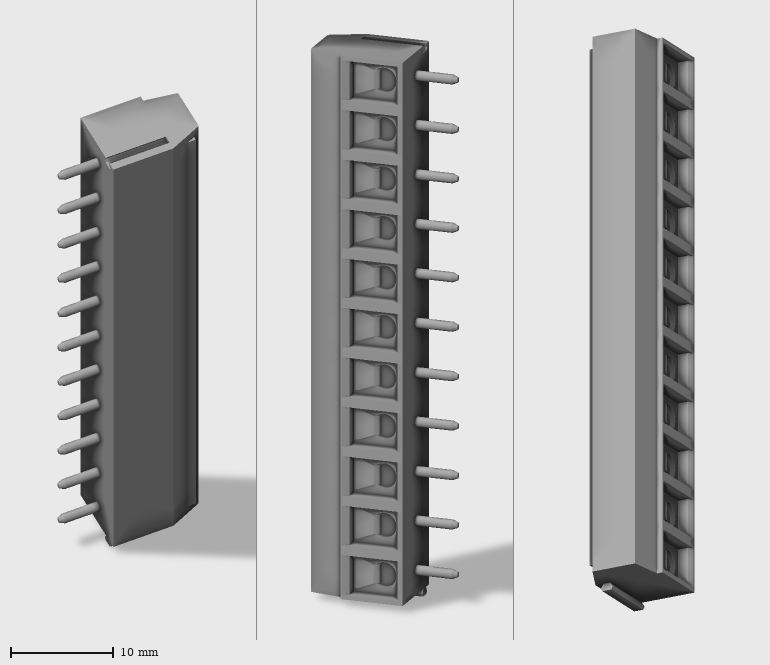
import cadquery as cq

pole_count = 11
pole_pitch = 5.08
end_margin = 2.5
body_height = (pole_count - 1) * pole_pitch + 2 * end_margin

body_width = 7.5
body_depth = 10.0
shoulder_y = 6.5
shoulder_width = 0.6
crown_left_x = 1.15
crown_right_x = 5.9

rib_top_y = 9.35
rib_face_x = 6.6
rib_end_gap = 1.0

pocket_height = 4.08
mouth_low_y = 0.18
mouth_high_y = 6.3
throat_low_y = 0.68
throat_high_y = 5.65
mouth_taper_depth = 0.35
pocket_depth = 1.5

wire_hole_y = 2.47
wire_hole_radius = 1.28
wire_hole_depth = 0.6

leaf_rise = 0.3
leaf_edge_length = 0.5
leaf_wide_half = 1.58
leaf_narrow_half = 0.93
leaf_tip_y = 2.96
leaf_edge_sag = 0.03
leaf_bend_drop = 0.35

pin_x = 4.05
pin_radius = 0.5
pin_length = 4.3
pin_tip_length = 0.55
pin_tip_radius = 0.27

rail_x = 6.23
groove_mouth_half = 0.43
groove_belly_half = 0.68
groove_floor_half = 0.48
groove_depth = 0.72
tongue_neck_half = 0.36
tongue_belly_half = 0.66
tongue_tip_half = 0.5
tongue_height = 0.76
belly_position = 0.6


def extrude_along_z(points, bottom, top):
    """Prism over an outline of (x, y) points."""
    return cq.Workplane("XY").workplane(offset=bottom).polyline(points).close().extrude(top - bottom)


def make_housing():
    outline = [
        (0, 0),
        (body_width, 0),
        (body_width, shoulder_y),
        (crown_right_x, body_depth),
        (crown_left_x, body_depth),
        (shoulder_width, shoulder_y),
        (0, shoulder_y),
    ]
    return extrude_along_z(outline, 0, body_height)


def make_rib():
    rise_per_run = (body_depth - shoulder_y) / (body_width - crown_right_x)
    rib_foot_y = body_depth - (rib_face_x - crown_right_x) * rise_per_run
    outline = [
        (crown_right_x, rib_top_y),
        (rib_face_x, rib_top_y),
        (rib_face_x, rib_foot_y),
        (crown_right_x, rib_foot_y),
    ]
    return extrude_along_z(outline, rib_end_gap, body_height - rib_end_gap)


def make_pocket(pole_z):
    outline = [
        (0, mouth_low_y),
        (mouth_taper_depth, throat_low_y),
        (pocket_depth, throat_low_y),
        (pocket_depth, throat_high_y),
        (mouth_taper_depth, throat_high_y),
        (0, mouth_high_y),
    ]
    return extrude_along_z(outline, pole_z - pocket_height / 2, pole_z + pocket_height / 2)


def make_wire_hole(pole_z):
    return (
        cq.Workplane("YZ", origin=(pocket_depth, wire_hole_y, pole_z))
        .circle(wire_hole_radius)
        .extrude(wire_hole_depth)
    )


def make_leaf(pole_z):
    front_x = pocket_depth - leaf_rise
    root_x = pocket_depth + wire_hole_depth
    flat_start_y = throat_high_y - leaf_edge_length
    bend_start_y = leaf_tip_y + leaf_edge_length
    profile = (
        cq.Workplane("XY")
        .workplane(offset=pole_z - leaf_wide_half)
        .moveTo(root_x, throat_high_y)
        .lineTo(pocket_depth, throat_high_y)
        .sagittaArc((front_x, flat_start_y), -leaf_edge_sag)
        .lineTo(front_x, bend_start_y)
        .sagittaArc((front_x + leaf_bend_drop, leaf_tip_y), -leaf_edge_sag)
        .lineTo(root_x, leaf_tip_y)
        .close()
        .extrude(2 * leaf_wide_half)
    )
    plan = (
        cq.Workplane("YZ", origin=(front_x, 0, pole_z))
        .polyline([
            (throat_high_y, leaf_wide_half),
            (flat_start_y, leaf_wide_half),
            (bend_start_y, leaf_narrow_half),
            (leaf_tip_y, leaf_narrow_half),
            (leaf_tip_y, -leaf_narrow_half),
            (bend_start_y, -leaf_narrow_half),
            (flat_start_y, -leaf_wide_half),
            (throat_high_y, -leaf_wide_half),
        ])
        .close()
        .extrude(root_x - front_x)
    )
    return profile.intersect(plan)


def make_pin(pole_z):
    half_profile = [
        (0, 0),
        (pin_radius, 0),
        (pin_radius, pin_tip_length - pin_length),
        (pin_tip_radius, -pin_length),
        (0, -pin_length),
    ]
    return (
        cq.Workplane("XY", origin=(pin_x, 0, pole_z))
        .polyline(half_profile)
        .close()
        .revolve(360, (0, 0), (0, 1))
    )


def make_rail(end_z, neck_half, belly_half, tip_half, height):
    """Rail running up to the shoulder, hanging down from end_z."""
    belly_z = end_z - height * belly_position
    tip_z = end_z - height
    outline = [
        (rail_x - neck_half, end_z),
        (rail_x + neck_half, end_z),
        (rail_x + belly_half, belly_z),
        (rail_x + tip_half, tip_z),
        (rail_x - tip_half, tip_z),
        (rail_x - belly_half, belly_z),
    ]
    return cq.Workplane("XZ").polyline(outline).close().extrude(-shoulder_y)


result = make_housing().union(make_rib())
groove = make_rail(body_height, groove_mouth_half, groove_belly_half, groove_floor_half, groove_depth)
tongue = make_rail(0, tongue_neck_half, tongue_belly_half, tongue_tip_half, tongue_height)
result = result.cut(groove).union(tongue)

for pole in range(pole_count):
    pole_z = end_margin + pole * pole_pitch
    result = result.cut(make_pocket(pole_z)).cut(make_wire_hole(pole_z))
    result = result.union(make_leaf(pole_z)).union(make_pin(pole_z))